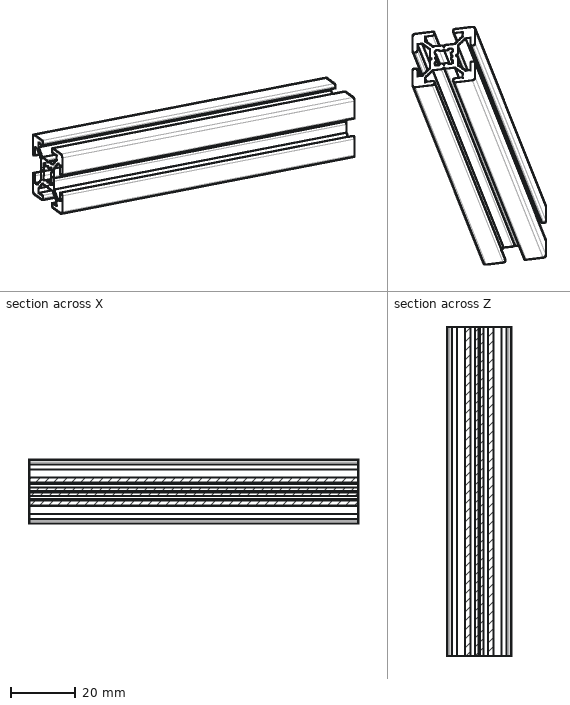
import cadquery as cq
import math

length = 102.5
side = 20.0
half = side / 2

slot_opening = 5.9
lip_thickness = 1.5
slot_inner_width = 12.0
core_side = 8.9
web_offset = 0.9

corner_radius = 0.9
lip_outer_radius = 0.7
lip_inner_radius = 0.6

groove_width = 1.5
groove_radius = 0.8

bore_side = 4.6
lobe_position = 2.0
bump_position = 0.77
bump_radius = 0.87


def extrude_along_y(sketch):
    """Extrude a closed XZ sketch over the full bar length, centred on the origin."""
    return sketch.extrude(length / 2, both=True)


def on_each_side(body):
    """Repeat a body on the four sides of the profile and join the copies."""
    joined = body
    for angle in (90, 180, 270):
        joined = joined.union(body.rotate((0, 0, 0), (0, 1, 0), angle))
    return joined


def make_bar():
    """Square bar with rounded long edges."""
    bar = extrude_along_y(cq.Workplane("XZ").rect(side, side))
    return bar.edges("|Y").fillet(corner_radius)


def make_slot():
    """Cutter for the top T-slot, with rounded lips and a groove in the floor."""
    mouth = slot_opening / 2
    wall = slot_inner_width / 2
    floor = core_side / 2
    shoulder = groove_width / 2
    valley = floor - groove_radius + math.sqrt(groove_radius**2 - shoulder**2)
    lip_underside = half - lip_thickness
    right_half = (
        cq.Workplane("XZ")
        .moveTo(0, half)
        .lineTo(mouth + lip_outer_radius, half)
        .radiusArc((mouth, half - lip_outer_radius), -lip_outer_radius)
        .lineTo(mouth, lip_underside + lip_inner_radius)
        .radiusArc((mouth + lip_inner_radius, lip_underside), -lip_inner_radius)
        .lineTo(wall, lip_underside)
        .lineTo(wall, wall + web_offset)
        .lineTo(floor - web_offset, floor)
        .lineTo(shoulder, floor)
        .radiusArc((0, valley), -groove_radius)
        .close()
    )
    cutter = extrude_along_y(right_half)
    return cutter.union(cutter.mirror("YZ"))


def make_bore():
    """Cutter for the central bore; each lobe runs tangentially into the bumps beside it."""
    bump_center = bore_side / 2 + bump_radius
    center_distance = math.hypot(lobe_position - bump_position, bump_center - lobe_position)
    lobe_radius = center_distance - bump_radius

    share = lobe_radius / center_distance
    touch_x = lobe_position + share * (bump_position - lobe_position)
    touch_z = lobe_position + share * (bump_center - lobe_position)
    valley_z = bump_center - math.sqrt(bump_radius**2 - bump_position**2)
    lobe_tip = lobe_position + lobe_radius * math.sqrt(0.5)

    corner = (
        cq.Workplane("XZ")
        .lineTo(0, valley_z)
        .threePointArc((bump_position, bore_side / 2), (touch_x, touch_z))
        .threePointArc((lobe_tip, lobe_tip), (touch_z, touch_x))
        .threePointArc((bore_side / 2, bump_position), (valley_z, 0))
        .close()
    )
    return on_each_side(extrude_along_y(corner))


result = make_bar().cut(on_each_side(make_slot())).cut(make_bore())